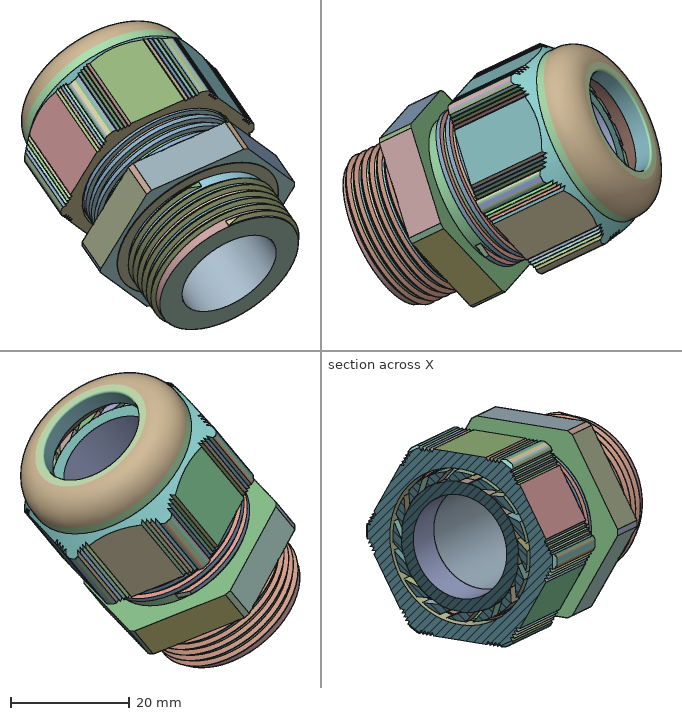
import cadquery as cq
import math


CORNER_COUNT = 6
CORNER_STEP = 360 / CORNER_COUNT
ACROSS_FLATS = 33.0
FLAT_DISTANCE = ACROSS_FLATS / 2
SHARP_ACROSS_CORNERS = ACROSS_FLATS / math.cos(math.radians(CORNER_STEP / 2))
HALF_FLAT_WIDTH = SHARP_ACROSS_CORNERS / 4

NUT_END = 22.65
DOME_RADIUS = 15.85
DOME_ROUNDING = 5.05
DOME_END = 6.55
CONE_SLOPE = 0.84
NUT_ACROSS_CORNERS = 37.3
NUT_CORNER_FILLET = 0.95

SERRATION_PITCH = 0.7
SERRATION_DEPTH = SERRATION_PITCH * math.sin(math.radians(60))
SERRATIONS_PER_GROUP = 4
SERRATION_CORNER_GAP = 1.5

ENTRY_RADIUS = 18.5 / 2
ENTRY_FILLET = 0.35
ENTRY_END = 3.2
NUT_BORE_RADIUS = 27.35 / 2
NUT_THREAD_START = 12.38
NUT_THREAD_RADIUS = 29.2 / 2

TOTAL_LENGTH = 47.6
FINGER_START = 6.95
FINGER_RADIUS = 26.3 / 2
NECK_RADIUS = 26.75 / 2
HEX_START = 30.15
HEX_END = 36.6
BODY_ACROSS_CORNERS = 37.45
SEAT_RADIUS = 31.15 / 2
SEAT_END = 36.75
SPIGOT_RADIUS = 26.8 / 2

SLOT_COUNT = 16
SLOT_WIDTH = 0.9
SLOT_LENGTH = 10.45
SLOT_DEPTH = 4.75
SLOT_START_ANGLE = -19.0
SLOT_SLANT = 60.0

SEAL_START = 6.6
SEAL_END = 16.15
SEAL_RADIUS = 22.9 / 2
PASSAGE_RADIUS = 18.2 / 2

RIDGE_ROOT_OVERLAP = 0.15
RUNOUT_ANGLE = 11.0
RUNOUT_END_HEIGHT = 0.05

NECK_THREAD_START = 14.85
NECK_THREAD_PITCH = 1.9
NECK_THREAD_TURNS = 7.5
NECK_THREAD_CREST = 28.45 / 2
NECK_RIDGE_ROOT_WIDTH = 1.15
NECK_RIDGE_CREST_WIDTH = 0.8

SPIGOT_THREAD_START = 37.45
SPIGOT_THREAD_PITCH = 1.55
SPIGOT_THREAD_TURNS = 6
SPIGOT_THREAD_CREST = 28.2 / 2
SPIGOT_RIDGE_ROOT_WIDTH = 1.15
SPIGOT_RIDGE_CREST_WIDTH = 0.1

SEAT_CONE_SLOPE = (FINGER_RADIUS - ENTRY_RADIUS) / (FINGER_START - ENTRY_END)
SEAT_CONE_END = ENTRY_END + (NUT_BORE_RADIUS - ENTRY_RADIUS) / SEAT_CONE_SLOPE


def cross_section(x):
    """Workplane across the gland axis: local x is Y, local y is Z."""
    return cq.Workplane("YZ", origin=(x, 0, 0))


def cylinder(radius, start, end):
    return cross_section(start).circle(radius).extrude(end - start)


def turned(outline):
    """Solid of revolution about X of an (x, radius) outline."""
    return outline.close().revolve(360, (0, 0, 0), (1, 0, 0))


def hexagon(start, end, across_corners):
    """Hexagonal prism along X with its sharp corners cut flat."""
    length = end - start
    prism = cross_section(start).polygon(CORNER_COUNT, SHARP_ACROSS_CORNERS).extrude(length)
    corner_cut_size = across_corners / math.cos(math.radians(CORNER_STEP / 2))
    corner_cut = cross_section(start).polygon(CORNER_COUNT, corner_cut_size).extrude(length)
    return prism.intersect(corner_cut.rotate((0, 0, 0), (1, 0, 0), CORNER_STEP / 2))


def thread_ridge(start, pitch, turns, core, crest, root_width, crest_width):
    """Helical ridge round X whose centre line leaves x = start on the +Z side."""
    root = core - RIDGE_ROOT_OVERLAP
    flank_slope = (root_width - crest_width) / 2 / (crest - core)
    half_root = root_width / 2 + flank_slope * RIDGE_ROOT_OVERLAP
    half_crest = crest_width / 2
    helix = cq.Wire.makeHelix(pitch, pitch * turns, core)
    profile = cq.Workplane("XZ").polyline(
        [(root, -half_root), (crest, -half_crest), (crest, half_crest), (root, half_root)]
    )
    ridge = profile.close().sweep(cq.Workplane(helix), isFrenet=True)
    ridge = ridge.rotate((0, 0, 0), (0, 1, 0), 90).rotate((0, 0, 0), (1, 0, 0), 180)
    return ridge.translate((start, 0, 0))


def ramp_ridge_end(ridge, x, width, core, position, tilt):
    """Slope the end of a ridge at x almost down to its core, leaning the ramp by tilt.

    The end lies at angle position round X, counted from the +Z side.
    """
    cut = cq.Workplane("XY").box(width, 2 * core, core, centered=(True, True, False))
    cut = cut.rotate((0, 0, 0), (1, 0, 0), tilt)
    cut = cut.translate((x, 0, core + RUNOUT_END_HEIGHT))
    return ridge.cut(cut.rotate((0, 0, 0), (1, 0, 0), position))


def neck_thread():
    end = NECK_THREAD_START + NECK_THREAD_PITCH * NECK_THREAD_TURNS
    ridge = thread_ridge(
        NECK_THREAD_START,
        NECK_THREAD_PITCH,
        NECK_THREAD_TURNS,
        NECK_RADIUS,
        NECK_THREAD_CREST,
        NECK_RIDGE_ROOT_WIDTH,
        NECK_RIDGE_CREST_WIDTH,
    )
    end_position = 360 * NECK_THREAD_TURNS
    return ramp_ridge_end(ridge, end, NECK_THREAD_PITCH, NECK_RADIUS, end_position, RUNOUT_ANGLE)


def spigot_thread():
    end = SPIGOT_THREAD_START + SPIGOT_THREAD_PITCH * SPIGOT_THREAD_TURNS
    ridge = thread_ridge(
        SPIGOT_THREAD_START,
        SPIGOT_THREAD_PITCH,
        SPIGOT_THREAD_TURNS,
        SPIGOT_RADIUS,
        SPIGOT_THREAD_CREST,
        SPIGOT_RIDGE_ROOT_WIDTH,
        SPIGOT_RIDGE_CREST_WIDTH,
    )
    end_position = 360 * SPIGOT_THREAD_TURNS
    ridge = ramp_ridge_end(ridge, SPIGOT_THREAD_START, SPIGOT_THREAD_PITCH, SPIGOT_RADIUS, 0, -RUNOUT_ANGLE)
    return ramp_ridge_end(ridge, end, SPIGOT_THREAD_PITCH, SPIGOT_RADIUS, end_position, RUNOUT_ANGLE)


def serration_cutters():
    """V grooves along the nut for one flat, in two mirrored groups."""
    grooves = cross_section(0)
    for side in (1, -1):
        for i in range(SERRATIONS_PER_GROUP):
            outer = HALF_FLAT_WIDTH - SERRATION_CORNER_GAP - i * SERRATION_PITCH
            inner = outer - SERRATION_PITCH
            middle = (outer + inner) / 2
            grooves = grooves.polyline(
                [
                    (side * outer, FLAT_DISTANCE),
                    (side * middle, FLAT_DISTANCE - SERRATION_DEPTH),
                    (side * inner, FLAT_DISTANCE),
                ]
            ).close()
    return grooves.extrude(NUT_END)


def nut_hexagon():
    """Serrated hexagon with rounded corners and a coned front."""
    grip = hexagon(0, NUT_END, NUT_ACROSS_CORNERS)
    grip = grip.edges("|X").fillet(NUT_CORNER_FILLET)
    grooves = serration_cutters()
    for i in range(CORNER_COUNT):
        grip = grip.cut(grooves.rotate((0, 0, 0), (1, 0, 0), i * CORNER_STEP))
    cone_radius = SHARP_ACROSS_CORNERS / 2
    cone_end = DOME_END + (cone_radius - DOME_RADIUS) / CONE_SLOPE
    envelope = turned(
        cq.Workplane("XY").polyline(
            [
                (DOME_END, 0),
                (DOME_END, DOME_RADIUS),
                (cone_end, cone_radius),
                (NUT_END, cone_radius),
                (NUT_END, 0),
            ]
        )
    )
    return grip.intersect(envelope)


def nut_dome():
    dome = cylinder(DOME_RADIUS, 0, DOME_END)
    return dome.faces("<X").edges().fillet(DOME_ROUNDING)


def nut_cavity():
    """Rounded entry, cone that presses on the fingers, plain bore and thread clearance."""
    outline = (
        cq.Workplane("XY")
        .moveTo(0, 0)
        .lineTo(0, ENTRY_RADIUS + ENTRY_FILLET)
        .radiusArc((ENTRY_FILLET, ENTRY_RADIUS), -ENTRY_FILLET)
        .lineTo(ENTRY_END, ENTRY_RADIUS)
        .lineTo(SEAT_CONE_END, NUT_BORE_RADIUS)
        .lineTo(NUT_THREAD_START, NUT_BORE_RADIUS)
        .lineTo(NUT_THREAD_START, NUT_THREAD_RADIUS)
        .lineTo(NUT_END, NUT_THREAD_RADIUS)
        .lineTo(NUT_END, 0)
    )
    return turned(outline)


def make_nut():
    return nut_dome().union(nut_hexagon()).cut(nut_cavity())


def finger_slot():
    """One slot through the finger wall, slanted away from the radial direction."""
    slot = cross_section(FINGER_START).rect(SLOT_LENGTH, SLOT_WIDTH).extrude(SLOT_DEPTH)
    slot = slot.rotate((0, 0, 0), (1, 0, 0), SLOT_SLANT)
    return slot.translate((0, SEAL_RADIUS, 0)).rotate((0, 0, 0), (1, 0, 0), SLOT_START_ANGLE)


def make_body():
    body = cylinder(FINGER_RADIUS, FINGER_START, NUT_THREAD_START)
    slot = finger_slot()
    for i in range(SLOT_COUNT):
        body = body.cut(slot.rotate((0, 0, 0), (1, 0, 0), i * 360 / SLOT_COUNT))
    body = body.union(cylinder(NECK_RADIUS, NUT_THREAD_START, HEX_START).union(neck_thread()))
    body = body.union(hexagon(HEX_START, HEX_END, BODY_ACROSS_CORNERS))
    body = body.union(cylinder(SEAT_RADIUS, HEX_END, SEAT_END))
    body = body.union(cylinder(SPIGOT_RADIUS, SEAT_END, TOTAL_LENGTH).union(spigot_thread()))
    body = body.cut(cylinder(SEAL_RADIUS, FINGER_START, SEAL_END))
    return body.cut(cylinder(PASSAGE_RADIUS, SEAL_END, TOTAL_LENGTH))


def make_seal():
    seal = cylinder(SEAL_RADIUS, SEAL_START, SEAL_END)
    return seal.cut(cylinder(PASSAGE_RADIUS, SEAL_START, SEAL_END))


nut = make_nut()
body = make_body()
seal = make_seal()

result = cq.Compound.makeCompound([nut.solids().val(), body.solids().val(), seal.solids().val()])